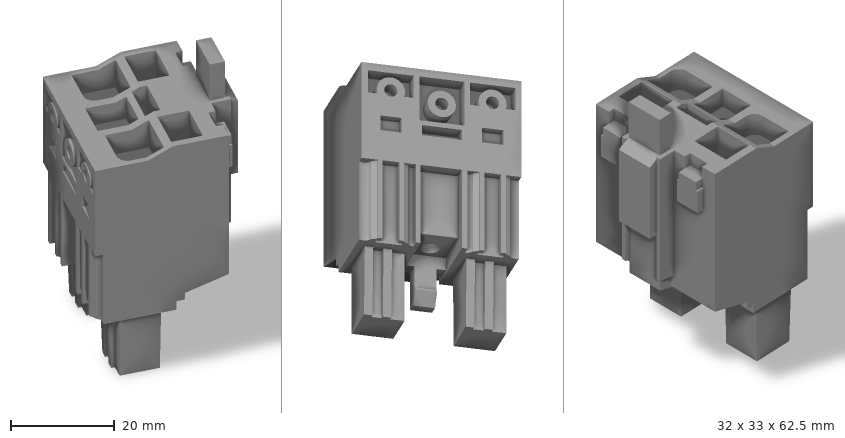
import cadquery as cq
import math


TOTAL_HEIGHT = 62.45
POLE_PITCH = 20.35
CENTRE_X = 0.095
POLE_X = (CENTRE_X - POLE_PITCH / 2, CENTRE_X + POLE_PITCH / 2)

HOUSING_WIDTH = 32.0
HOUSING_DEPTH = 27.25
HOUSING_BOTTOM = 14.35
HOUSING_TOP = 53.9
FRONT_TOP = 51.65
TOP_SLOPE_FRONT_Y = 10.8
TOP_SLOPE_REAR_Y = 15.8
BOTTOM_FLAT_END_Y = 16.6
BOTTOM_STEP_Z = 16.4
BOTTOM_STEP_END_Y = 18.3
BOTTOM_SLOPE_START_Z = 18.0
BOTTOM_SLOPE_END_Z = 20.5

SLIDER_WIDTH = 8.25
SLIDER_BAR_REAR_Y = 30.35
SLIDER_STEM_REAR_Y = 30.15
THUMB_REAR_Y = 33.05
THUMB_EDGE_Z = 52.35
THUMB_BOTTOM_Z = 35.05
STEM_BOTTOM_Z = 20.9
ARM_HEIGHT = 3.25
FOOT_FRONT_Y = 11.5
FOOT_REAR_Y = 14.6
FOOT_BOTTOM_Z = 15.0
TAB_WIDTH = 4.4
TAB_BOTTOM_Z = 7.05
HOOK_TOP_Z = 10.2
HOOK_EDGE_Z = 9.75
HOOK_REACH = 0.6
HOOK_RAMP_DEPTH = 1.6

GUIDE_THICKNESS = 1.0
GUIDE_REAR_Y = 31.2
GUIDE_FRONT_BOTTOM_Z = 23.6
GUIDE_REAR_BOTTOM_Z = 24.3

LUG_REAR_Y = 28.9
LUG_CENTRE_OFFSET = 0.1
LUG_WIDTH = 5.5
LUG_BOTTOM_Z = 43.8
LUG_SHOULDER_Z = 48.95
LUG_TONGUE_WIDTH = 4.6
LUG_TONGUE_TOP_Z = 51.0
LUG_NOTCH_FRONT_Y = 25.75

POCKET_FLOOR_Z = 46.6
REAR_POCKET_WIDTH = 8.5
REAR_POCKET_Y = (16.0, 22.4)
FRONT_POCKET_WIDTH = 9.25
FRONT_POCKET_Y = (5.45, 14.35)
FRONT_POCKET_RADIUS = 2.25
MIDDLE_POCKET_WIDTH = 8.25
MIDDLE_POCKET_Y = (14.1, 17.25)
CENTRE_POCKET_WIDTH = 7.6
CENTRE_POCKET_Y = (4.55, 12.85)
CENTRE_POCKET_FLOOR_Z = 47.2
SHAFT_HOLE_DIAMETER = 3.75
SHAFT_HOLE_Y = 8.45

WINDOW_DEPTH = 3.55
WINDOW_TOP_Z = 50.0
SIDE_WINDOW_WIDTH = 9.1
SIDE_WINDOW_BOTTOM_Z = 45.3
SIDE_BOSS_Z = 46.3
CENTRE_WINDOW_WIDTH = 9.0
CENTRE_WINDOW_BOTTOM_Z = 40.65
CENTRE_BOSS_Z = 44.7
BOSS_DIAMETER = 5.6
BOSS_HOLE_DIAMETER = 2.6
SLOT_WIDTH = 8.0
SLOT_Z = (37.55, 39.65)
PORT_WIDTH = 4.25
PORT_DEPTH = 2.0
PORT_Z = (37.55, 40.65)

RELIEF_TOP_Z = 31.1
CENTRE_RECESS_DEPTH = 2.95
PASSAGE_FRONT_Z = 17.85
PASSAGE_REAR_Z = 17.55
RIB_INNER = 1.7
RIB_OUTER = 2.6
RIB_RECESS_DEPTH = 1.1
RIB_UNDERCUT = 0.95
RIB_UNDERCUT_DEPTH = 2.0
FLANK_STEP_Y = 0.3
FLANK_END = 3.7
FLANK_END_Y = 0.95
GROOVE_OFFSET = 5.05
GROOVE_RADIUS = 1.5

CONTACT_LEFT = -4.05
CONTACT_RIGHT = 4.25
CONTACT_TOP_Y = (4.2, 13.9)
CONTACT_TIP_Y = (4.75, 13.7)
CONTACT_GROOVE = (-2.4, -0.3)
CONTACT_STEP = 1.4
CONTACT_RELIEF_Y = 5.5


def block(x_range, y_range, z_range):
    """Box filling the given X, Y and Z ranges."""
    size = [end - start for start, end in (x_range, y_range, z_range)]
    corner = (x_range[0], y_range[0], z_range[0])
    return cq.Workplane("XY").box(*size, centered=False).translate(corner)


def centred(middle, width):
    """Range of the given width about a middle value."""
    return (middle - width / 2, middle + width / 2)


def side_prism(points, x_range):
    """Outline of (Y, Z) points extruded across an X range."""
    prism = cq.Workplane("YZ").polyline(points).close().extrude(x_range[1] - x_range[0])
    return prism.translate((x_range[0], 0, 0))


def front_cylinder(x, z, diameter, depth):
    """Cylinder reaching back from the front face."""
    return cq.Workplane("XZ").center(x, z).circle(diameter / 2).extrude(-depth)


ARM_SLOPE = (BOTTOM_SLOPE_END_Z - BOTTOM_SLOPE_START_Z) / (HOUSING_DEPTH - BOTTOM_STEP_END_Y)


def arm_underside(y):
    """Z of the underside of the slider arm, parallel to the housing's sloping bottom."""
    return STEM_BOTTOM_Z - ARM_SLOPE * (SLIDER_STEM_REAR_Y - y)


def slider_main():
    """Bar, thumb block, stem, arm and foot at the full slider width."""
    outline = [
        (HOUSING_DEPTH, TOTAL_HEIGHT),
        (SLIDER_BAR_REAR_Y, TOTAL_HEIGHT),
        (SLIDER_BAR_REAR_Y, HOUSING_TOP),
        (THUMB_REAR_Y, THUMB_EDGE_Z),
        (THUMB_REAR_Y, THUMB_BOTTOM_Z),
        (SLIDER_STEM_REAR_Y, THUMB_BOTTOM_Z),
        (SLIDER_STEM_REAR_Y, STEM_BOTTOM_Z),
        (FOOT_REAR_Y, arm_underside(FOOT_REAR_Y)),
        (FOOT_REAR_Y, FOOT_BOTTOM_Z),
        (FOOT_FRONT_Y, FOOT_BOTTOM_Z),
        (FOOT_FRONT_Y, arm_underside(FOOT_FRONT_Y) + ARM_HEIGHT),
        (HOUSING_DEPTH, arm_underside(HOUSING_DEPTH) + ARM_HEIGHT),
    ]
    return side_prism(outline, centred(0, SLIDER_WIDTH))


def slider_tab():
    """Narrow tab below the foot, with a forward hook and a ramp up to the hook's edge."""
    hook_y = FOOT_FRONT_Y - HOOK_REACH
    outline = [
        (FOOT_REAR_Y, FOOT_BOTTOM_Z),
        (FOOT_REAR_Y, TAB_BOTTOM_Z),
        (hook_y + HOOK_RAMP_DEPTH, TAB_BOTTOM_Z),
        (hook_y, HOOK_EDGE_Z),
        (hook_y, HOOK_TOP_Z),
        (FOOT_FRONT_Y, HOOK_TOP_Z),
        (FOOT_FRONT_Y, FOOT_BOTTOM_Z),
    ]
    return side_prism(outline, centred(0, TAB_WIDTH))


def make_slider():
    return slider_main().union(slider_tab())


def housing_shell():
    outline = [
        (0, HOUSING_BOTTOM),
        (0, FRONT_TOP),
        (TOP_SLOPE_FRONT_Y, FRONT_TOP),
        (TOP_SLOPE_REAR_Y, HOUSING_TOP),
        (HOUSING_DEPTH, HOUSING_TOP),
        (HOUSING_DEPTH, BOTTOM_SLOPE_END_Z),
        (BOTTOM_STEP_END_Y, BOTTOM_SLOPE_START_Z),
        (BOTTOM_STEP_END_Y, BOTTOM_STEP_Z),
        (BOTTOM_FLAT_END_Y, BOTTOM_STEP_Z),
        (BOTTOM_FLAT_END_Y, HOUSING_BOTTOM),
    ]
    return side_prism(outline, centred(0, HOUSING_WIDTH))


def guide_wall(side):
    """Wall guiding the slider; side is -1 for left and 1 for right."""
    outline = [
        (HOUSING_DEPTH, HOUSING_TOP),
        (GUIDE_REAR_Y, HOUSING_TOP),
        (GUIDE_REAR_Y, GUIDE_REAR_BOTTOM_Z),
        (HOUSING_DEPTH, GUIDE_FRONT_BOTTOM_Z),
    ]
    middle = side * (SLIDER_WIDTH + GUIDE_THICKNESS) / 2
    return side_prism(outline, centred(middle, GUIDE_THICKNESS))


def lug_notch(pole_x):
    """Notch in the top rear edge, above the lug."""
    return block(
        centred(pole_x - LUG_CENTRE_OFFSET, LUG_TONGUE_WIDTH),
        (LUG_NOTCH_FRONT_Y, HOUSING_DEPTH),
        (LUG_TONGUE_TOP_Z, HOUSING_TOP),
    )


def rear_lug(pole_x):
    """Lug on the rear face with a narrower tongue on top."""
    middle = pole_x - LUG_CENTRE_OFFSET
    y_range = (HOUSING_DEPTH, LUG_REAR_Y)
    base = block(centred(middle, LUG_WIDTH), y_range, (LUG_BOTTOM_Z, LUG_SHOULDER_Z))
    tongue = block(centred(middle, LUG_TONGUE_WIDTH), y_range, (LUG_SHOULDER_Z, LUG_TONGUE_TOP_Z))
    return base.union(tongue)


def top_pocket(x, width, y_range, floor_z):
    return block(centred(x, width), y_range, (floor_z, HOUSING_TOP))


def front_pocket(pole_x):
    """Front top pocket with its front right corner rounded."""
    pocket = top_pocket(pole_x, FRONT_POCKET_WIDTH, FRONT_POCKET_Y, POCKET_FLOOR_Z)
    return pocket.edges("|Z").edges(">X").edges("<Y").fillet(FRONT_POCKET_RADIUS)


def shaft_hole():
    """Vertical hole from the centre pocket down to the passage under the housing."""
    height = CENTRE_POCKET_FLOOR_Z - HOUSING_BOTTOM
    hole = cq.Workplane("XY").center(CENTRE_X, SHAFT_HOLE_Y).circle(SHAFT_HOLE_DIAMETER / 2).extrude(height)
    return hole.translate((0, 0, HOUSING_BOTTOM))


def boss_window(x, width, bottom_z, boss_z):
    """Front window around a boss that stands flush with the front face and has a blind hole."""
    window = block(centred(x, width), (0, WINDOW_DEPTH), (bottom_z, WINDOW_TOP_Z))
    boss = front_cylinder(x, boss_z, BOSS_DIAMETER, WINDOW_DEPTH)
    hole = front_cylinder(x, boss_z, BOSS_HOLE_DIAMETER, WINDOW_DEPTH)
    return window.cut(boss).union(hole)


GROOVE_CENTRE_Y = FLANK_END_Y - math.sqrt(GROOVE_RADIUS**2 - (GROOVE_OFFSET - FLANK_END) ** 2)


def relief_prism(profile):
    """Closed XY profile extruded over the height of the relief."""
    return profile.extrude(RELIEF_TOP_Z - HOUSING_BOTTOM).translate((0, 0, HOUSING_BOTTOM))


def rib_groove():
    """Groove right of a pole's ribs: a step, a sloping flank and an arc to the deepest line."""
    arc_start_angle = math.atan2(FLANK_END_Y - GROOVE_CENTRE_Y, GROOVE_OFFSET - FLANK_END)
    arc_middle_angle = (arc_start_angle + math.pi / 2) / 2
    arc_middle = (
        GROOVE_OFFSET - GROOVE_RADIUS * math.cos(arc_middle_angle),
        GROOVE_CENTRE_Y + GROOVE_RADIUS * math.sin(arc_middle_angle),
    )
    profile = (
        cq.Workplane("XY")
        .moveTo(RIB_OUTER, 0)
        .lineTo(RIB_OUTER, FLANK_STEP_Y)
        .lineTo(FLANK_END, FLANK_END_Y)
        .threePointArc(arc_middle, (GROOVE_OFFSET, GROOVE_CENTRE_Y + GROOVE_RADIUS))
        .lineTo(GROOVE_OFFSET, 0)
        .close()
    )
    return relief_prism(profile)


def groove_outlet(run):
    """Continuation of the groove's round from its deepest line to the housing side."""
    strip = block(
        (GROOVE_OFFSET, GROOVE_OFFSET + run),
        (0, GROOVE_CENTRE_Y + GROOVE_RADIUS),
        (HOUSING_BOTTOM, RELIEF_TOP_Z),
    )
    roll = cq.Workplane("XY").center(GROOVE_OFFSET, GROOVE_CENTRE_Y).circle(GROOVE_RADIUS)
    return strip.intersect(relief_prism(roll))


def pole_relief(pole_x):
    """Relief of one pole: a T-shaped recess between two ribs and a groove beyond each rib."""
    z_range = (HOUSING_BOTTOM, RELIEF_TOP_Z)
    recess = block(centred(0, 2 * RIB_INNER), (0, RIB_RECESS_DEPTH), z_range)
    undercut_width = 2 * (RIB_INNER + RIB_UNDERCUT)
    undercut = block(centred(0, undercut_width), (RIB_RECESS_DEPTH, RIB_UNDERCUT_DEPTH), z_range)
    outlet = groove_outlet(HOUSING_WIDTH / 2 - abs(pole_x) - GROOVE_OFFSET)
    if pole_x < 0:
        outlet = outlet.mirror("YZ")
    groove = rib_groove()
    relief = recess.union(undercut).union(groove).union(groove.mirror("YZ")).union(outlet)
    return relief.translate((pole_x, 0, 0))


def centre_passage():
    """Front recess between the poles, continuing under the housing to its rear."""
    outline = [
        (0, HOUSING_BOTTOM),
        (0, RELIEF_TOP_Z),
        (CENTRE_RECESS_DEPTH, RELIEF_TOP_Z),
        (CENTRE_RECESS_DEPTH, PASSAGE_FRONT_Z),
        (FOOT_FRONT_Y, PASSAGE_REAR_Z),
        (HOUSING_DEPTH, PASSAGE_REAR_Z),
        (HOUSING_DEPTH, HOUSING_BOTTOM),
    ]
    return side_prism(outline, centred(0, SLIDER_WIDTH))


def make_housing():
    housing = housing_shell()
    for side in (-1, 1):
        housing = housing.union(guide_wall(side))
    for pole_x in POLE_X:
        housing = (
            housing.union(rear_lug(pole_x))
            .cut(lug_notch(pole_x))
            .cut(top_pocket(pole_x, REAR_POCKET_WIDTH, REAR_POCKET_Y, POCKET_FLOOR_Z))
            .cut(front_pocket(pole_x))
            .cut(boss_window(pole_x, SIDE_WINDOW_WIDTH, SIDE_WINDOW_BOTTOM_Z, SIDE_BOSS_Z))
            .cut(block(centred(pole_x, PORT_WIDTH), (0, PORT_DEPTH), PORT_Z))
            .cut(pole_relief(pole_x))
        )
    return (
        housing.cut(top_pocket(0, MIDDLE_POCKET_WIDTH, MIDDLE_POCKET_Y, POCKET_FLOOR_Z))
        .cut(top_pocket(CENTRE_X, CENTRE_POCKET_WIDTH, CENTRE_POCKET_Y, CENTRE_POCKET_FLOOR_Z))
        .cut(shaft_hole())
        .cut(boss_window(CENTRE_X, CENTRE_WINDOW_WIDTH, CENTRE_WINDOW_BOTTOM_Z, CENTRE_BOSS_Z))
        .cut(block(centred(CENTRE_X, SLOT_WIDTH), (0, WINDOW_DEPTH), SLOT_Z))
        .cut(centre_passage())
        .cut(slider_main())
    )


def make_contact(pole_x):
    """Tapered plug-in contact under one pole, relieved along its front."""
    outline = [
        (CONTACT_TOP_Y[0], HOUSING_BOTTOM),
        (CONTACT_TOP_Y[1], HOUSING_BOTTOM),
        (CONTACT_TIP_Y[1], 0),
        (CONTACT_TIP_Y[0], 0),
    ]
    contact = side_prism(outline, (CONTACT_LEFT, CONTACT_RIGHT))
    for x_range in (CONTACT_GROOVE, (CONTACT_STEP, CONTACT_RIGHT)):
        contact = contact.cut(block(x_range, (0, CONTACT_RELIEF_Y), (0, HOUSING_BOTTOM)))
    return contact.translate((pole_x, 0, 0))


housing = make_housing()
slider = make_slider()
contacts = [make_contact(pole_x) for pole_x in POLE_X]

result = cq.Compound.makeCompound(
    [housing.solids().val(), slider.solids().val(), *[contact.solids().val() for contact in contacts]]
)